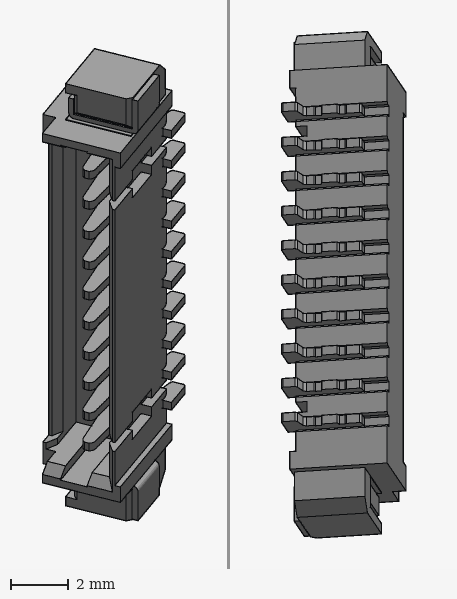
import cadquery as cq

width = 3.56
depth = 5.21
height = 17.47

contact_count = 10
pitch = 1.25
contact_thickness = 0.32

housing_half_height = 7.23
housing_depth = 4.32
housing_width = 3.44
middle_width = 3.23
cavity_half_height = 6.59
cavity_left = 0.36
cavity_right = 2.83
cavity_floor = 3.07
left_wall_front = 1.58
left_end_front = 1.10
left_step_z = 6.33
left_end_width = 0.48

lead_in_depth = 0.42
lead_in_left = 0.24
lead_in_right = 0.31
lead_in_end = 0.29
mouth_half_height = cavity_half_height + lead_in_end

groove_left = 1.17
groove_right = 2.18
groove_half_height = 6.93

slot_width = 0.37
window_width = 1.12
window_front = 1.47

notch_floor = 4.0
notch_throat = 0.36
notch_mouth = 0.52
notch_bevel_depth = 0.1

blade_center = 1.94
blade_root_width = 0.82
blade_shoulder_width = 0.46
blade_tip_width = 0.16
blade_shoulder_y = 0.69
blade_tip_y = 0.5
blade_corner_bulge = 0.03

tail_end = 0.85
tail_top = 4.58
tail_groove = 4.53
tail_bump = 4.69
tail_corner = 0.07
tail_bevel = 0.05
bump_center = 1.96
bump_half_width = 0.27
groove_outer = 0.57
foot_inner = 3.0
foot_bend = 0.1

ear_left = 0.86
ear_right = 3.34
ear_front = 1.10
ear_rear = 3.98
ear_bevel = 0.46
ear_half_height = height / 2
nail_thickness = 0.18
nail_left = 0.93
nail_gap = 0.06
nail_bottom = housing_half_height + nail_gap
nail_left_top = 8.10
nail_top_setback = 0.05
nail_right_top = ear_half_height - nail_top_setback
nail_front = 1.21
nail_rear = 2.98
nail_bend_radius = 0.2
recess_top = 8.36
ear_base_thickness = 0.03
recess_bottom = housing_half_height + ear_base_thickness
core_left = nail_left + nail_thickness
core_bottom = nail_bottom + nail_thickness
core_bevel = 0.18


def box(x0, x1, y0, y1, z0, z1):
    """Axis-aligned box between two opposite corners."""
    return cq.Workplane("XY").box(x1 - x0, y1 - y0, z1 - z0, centered=False).translate((x0, y0, z0))


def plate(points, z_middle, thickness):
    """Outline in X and Y, extruded along Z about z_middle."""
    outline = cq.Workplane("XY").workplane(offset=z_middle).polyline(points).close()
    return outline.extrude(thickness / 2, both=True)


def both_ends(solid):
    """A solid together with its mirror image about z = 0."""
    return solid.union(solid.mirror("XY"))


def make_cavity():
    """Cavity with bevelled mouth and a groove in each end wall."""
    cavity = box(cavity_left, cavity_right, 0, cavity_floor, -cavity_half_height, cavity_half_height)
    groove = box(groove_left, groove_right, 0, cavity_floor, -groove_half_height, groove_half_height)
    bevel_right = plate(
        [
            (cavity_left, 0),
            (cavity_right + lead_in_right, 0),
            (cavity_right, lead_in_depth),
            (cavity_left, lead_in_depth),
        ],
        0, 2 * mouth_half_height)
    bevel_ends = (
        cq.Workplane("YZ")
        .polyline([
            (0, -mouth_half_height),
            (lead_in_depth, -cavity_half_height),
            (lead_in_depth, cavity_half_height),
            (0, mouth_half_height),
        ])
        .close()
        .extrude(width)
    )
    return cavity.union(groove).union(bevel_right.intersect(bevel_ends))


def left_bevel(front, half_height):
    """Bevel on the inner front edge of the left wall, where that edge lies at y = front."""
    points = [
        (cavity_left, front),
        (cavity_left - lead_in_left, front),
        (cavity_left, front + lead_in_depth),
    ]
    return plate(points, 0, 2 * half_height)


def make_housing():
    """Shell with thick ends, the cavity, and a left wall set back from the mating face."""
    housing = box(0, middle_width, 0, housing_depth, -housing_half_height, housing_half_height)
    end = box(0, housing_width, 0, housing_depth, cavity_half_height, housing_half_height)
    housing = housing.union(both_ends(end)).cut(make_cavity())
    left_setback = box(0, left_end_width, 0, left_end_front, -housing_half_height, housing_half_height)
    housing = housing.cut(left_setback)
    housing = housing.cut(box(0, cavity_left, 0, left_wall_front, -left_step_z, left_step_z))
    housing = housing.cut(left_bevel(left_end_front, cavity_half_height))
    housing = housing.cut(left_bevel(left_wall_front, left_step_z))
    return housing


def make_slot():
    """Slot from the mating face that opens into a wider window at the cavity floor side."""
    z_middle = (contact_count - 2) * pitch / 2
    slot = box(cavity_right, width, 0, housing_depth, z_middle - slot_width / 2, z_middle + slot_width / 2)
    window = box(cavity_right, width, window_front, cavity_floor,
                 z_middle - window_width / 2, z_middle + window_width / 2)
    return slot.union(window)


def make_notch(z_middle):
    """Notch across the rear face with a bevelled mouth."""
    bevel_start = housing_depth - notch_bevel_depth
    points = [
        (notch_floor, -notch_throat / 2),
        (bevel_start, -notch_throat / 2),
        (housing_depth, -notch_mouth / 2),
        (housing_depth, notch_mouth / 2),
        (bevel_start, notch_throat / 2),
        (notch_floor, notch_throat / 2),
    ]
    return cq.Workplane("YZ").polyline(points).close().extrude(width).translate((0, 0, z_middle))


def make_blade(z_middle):
    """Tapered contact blade that stands on the cavity floor, with rounded corners at its tip."""
    half_root = blade_root_width / 2
    half_shoulder = blade_shoulder_width / 2
    half_tip = blade_tip_width / 2
    return (
        cq.Workplane("XY")
        .workplane(offset=z_middle)
        .moveTo(blade_center - half_root, cavity_floor)
        .lineTo(blade_center - half_shoulder, blade_shoulder_y)
        .sagittaArc((blade_center - half_tip, blade_tip_y), -blade_corner_bulge)
        .lineTo(blade_center + half_tip, blade_tip_y)
        .sagittaArc((blade_center + half_shoulder, blade_shoulder_y), -blade_corner_bulge)
        .lineTo(blade_center + half_root, cavity_floor)
        .close()
        .extrude(contact_thickness / 2, both=True)
    )


def make_tail(z_middle):
    """Stamped tail that sits in a rear notch and turns down to a foot on the board side."""
    points = [
        (tail_end, notch_floor + tail_corner),
        (tail_end, tail_top - tail_corner),
        (tail_end + tail_corner, tail_top),
        (bump_center - groove_outer, tail_top),
        (bump_center - groove_outer + tail_bevel, tail_groove),
        (bump_center - bump_half_width - tail_bevel, tail_groove),
        (bump_center - bump_half_width, tail_bump),
        (bump_center + bump_half_width, tail_bump),
        (bump_center + bump_half_width + tail_bevel, tail_groove),
        (bump_center + groove_outer - tail_bevel, tail_groove),
        (bump_center + groove_outer, tail_top),
        (foot_inner - 2 * foot_bend, tail_top),
        (foot_inner - foot_bend, tail_top + foot_bend),
        (foot_inner, depth - tail_corner),
        (foot_inner + tail_corner, depth),
        (width - tail_corner, depth),
        (width, depth - tail_corner),
        (width, notch_floor),
        (tail_end + tail_corner, notch_floor),
    ]
    return plate(points, z_middle, contact_thickness)


def make_ear():
    """Upper ear: bevelled block recessed around a core that carries the solder nail."""
    ear = box(ear_left, ear_right, ear_front, ear_rear, housing_half_height, ear_half_height)
    ear = ear.edges("|X and >Y and >Z").chamfer(ear_bevel)
    left_recess = box(ear_left, core_left, ear_front, nail_rear, recess_bottom, recess_top)
    lower_recess = box(ear_left, ear_right, ear_front, nail_rear, recess_bottom, core_bottom)
    edge_middles = [
        (core_left, ear_front, (core_bottom + recess_top) / 2),
        ((core_left + ear_right) / 2, ear_front, core_bottom),
        (ear_right, ear_front, (core_bottom + ear_half_height) / 2),
    ]
    ear = ear.cut(left_recess).cut(lower_recess)
    selectors = [cq.selectors.NearestToPointSelector(middle) for middle in edge_middles]
    core_edges = [ear.edges(selector).val() for selector in selectors]
    return ear.newObject(core_edges).chamfer(core_bevel)


def make_nail():
    """U-shaped solder nail wrapped around the core."""
    outer = box(nail_left, width, nail_front, nail_rear, nail_bottom, nail_right_top)
    outer = outer.edges("|Y and <Z").fillet(nail_bend_radius)
    inner = box(core_left, ear_right, nail_front, nail_rear, core_bottom, nail_right_top)
    above_left = box(nail_left, core_left, nail_front, nail_rear, nail_left_top, nail_right_top)
    return outer.cut(inner).cut(above_left)


contact_levels = [(i - (contact_count - 1) / 2) * pitch for i in range(contact_count)]

result = make_housing().cut(both_ends(make_slot()))
for level in contact_levels:
    result = result.cut(make_notch(level))
for level in contact_levels:
    result = result.union(make_blade(level)).union(make_tail(level))
result = result.union(both_ends(make_ear().union(make_nail())))